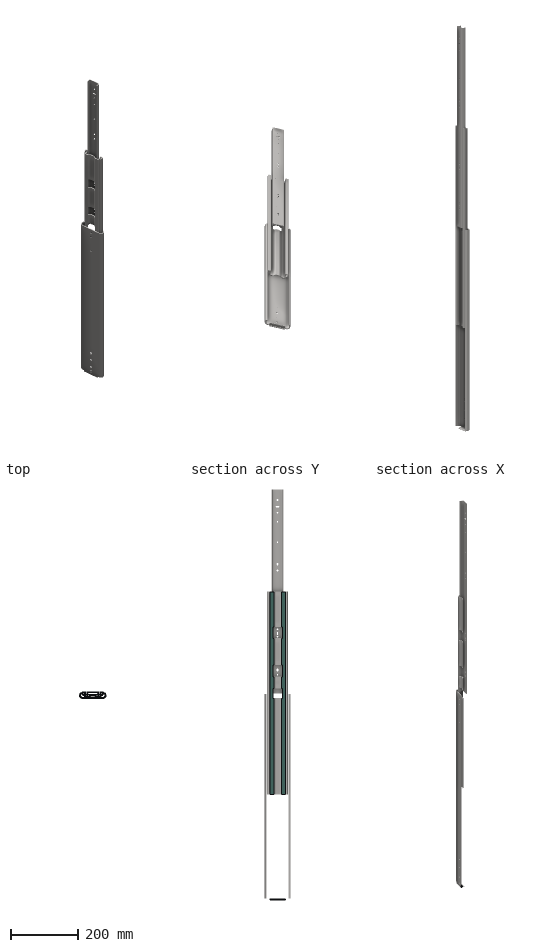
import math

import cadquery as cq


TOTAL_WIDTH = 77.15
TOTAL_DEPTH = 19.3
TOTAL_HEIGHT = 1218.6
SHEET = 2.4

TAB_DROP = 5.5
OUTER_TOP = 611.0
MIDDLE_BOTTOM = 314.0
MIDDLE_TOP = 915.0
INNER_BOTTOM = 613.5

OUTER_FLAT_HALF = 31.2
WALL_X = TOTAL_WIDTH / 2
WALL_START_Y = 5.5
CORNER_MID = (35.2, 2.3)
CURL_RADIUS = 5.5
CURL_Y = 10.5
CURL_ANGLE = 90.0
TAB_HALF_WIDTH = 24.0
TAB_REACH = 11.5
TAB_ROOT = 7.0
TAB_UNDERSIDE = 2.5
TAB_TIP = 1.2

MIDDLE_HALF_WIDTH = 31.2
MIDDLE_Y = 2.9
BEND_RADIUS = 4.2
HAT_RADIUS = 2.2
HAT_WIDTH = 9.4
LEG_BEND_Y = 13.0
LEG_TIP_Y = 8.0
LEG_LEAN = 3.6
RIB_BASE_HALF = 12.8
RIB_TOP_HALF = 5.5
RIB_RISE = 4.8

INNER_HALF_WIDTH = 17.4
INNER_TIP_Y = 7.0
INNER_SHEET = 1.6
INNER_CORNER = 1.6
INNER_FILLET = 4.6
GROOVE_LOW_Y = 8.2
GROOVE_HIGH_Y = 12.2
GROOVE_DEPTH = 0.6

OUTER_HOLES = [
    (597.5, 4.5, 7.0),
    (579.7, 4.5, 7.0),
    (521.2, 4.5, 4.5),
    (89.2, 4.5, 9.9),
    (61.7, 4.5, 7.0),
    (32.2, 4.5, 7.0),
    (13.7, 4.0, 8.8),
]
INNER_HOLES = [
    (1187.2, 4.5, 7.0),
    (1167.2, 11.0, 4.0),
    (1149.2, 4.5, 4.5),
    (1123.2, 4.5, 4.5),
    (1061.2, 4.5, 4.5),
    (996.7, 4.5, 7.0),
    (978.2, 4.5, 7.0),
    (803.7, 4.5, 4.5),
    (790.7, 4.0, 8.8),
    (781.7, 4.5, 4.5),
    (683.2, 4.5, 9.9),
    (668.2, 4.5, 4.5),
]

WINDOW_HALF = 13.4
WINDOWS = [
    (778.0, 811.0),
    (664.0, 697.0),
    (600.0, 627.5),
]


def flip(point):
    """Mirror a section point to the other side."""
    return (-point[0], point[1])


def cut_holes(rail, holes):
    """Cut round or slotted holes through a rail from front to back."""
    for height, across, along in holes:
        length = max(across, along)
        width = min(across, along)
        tilt = 90 if along > across else 0
        sketch = cq.Workplane("XZ").center(0, height)
        if length == width:
            sketch = sketch.circle(width / 2)
        else:
            sketch = sketch.slot2D(length, width, tilt)
        rail = rail.cut(sketch.extrude(-TOTAL_DEPTH))
    return rail


def make_outer_rail():
    """Wide C-shaped rail with curled races and a stop tab at its lower end."""

    def curl_point(radius, degrees):
        angle = math.radians(degrees)
        return (WALL_X - CURL_RADIUS + radius * math.cos(angle), CURL_Y + radius * math.sin(angle))

    inside = CURL_RADIUS - SHEET
    wall_in = WALL_X - SHEET
    tip_out = curl_point(CURL_RADIUS, CURL_ANGLE)
    tip_in = curl_point(inside, CURL_ANGLE)
    curl_mid_out = curl_point(CURL_RADIUS, CURL_ANGLE / 2)
    curl_mid_in = curl_point(inside, CURL_ANGLE / 2)
    web_out = (OUTER_FLAT_HALF, 0)
    corner_out = (WALL_X, WALL_START_Y)
    web_in = (OUTER_FLAT_HALF, SHEET)
    rail = (
        cq.Workplane("XY")
        .workplane(offset=TAB_DROP)
        .moveTo(*flip(web_out))
        .lineTo(*web_out)
        .threePointArc(CORNER_MID, corner_out)
        .lineTo(WALL_X, CURL_Y)
        .threePointArc(curl_mid_out, tip_out)
        .lineTo(*tip_in)
        .threePointArc(curl_mid_in, (wall_in, CURL_Y))
        .lineTo(wall_in, WALL_START_Y)
        .lineTo(*web_in)
        .lineTo(*flip(web_in))
        .lineTo(-wall_in, WALL_START_Y)
        .lineTo(-wall_in, CURL_Y)
        .threePointArc(flip(curl_mid_in), flip(tip_in))
        .lineTo(*flip(tip_out))
        .threePointArc(flip(curl_mid_out), (-WALL_X, CURL_Y))
        .lineTo(*flip(corner_out))
        .threePointArc(flip(CORNER_MID), flip(web_out))
        .close()
        .extrude(OUTER_TOP - TAB_DROP)
    )
    tongue = (
        cq.Workplane("XY")
        .center(0, SHEET / 2)
        .rect(2 * TAB_HALF_WIDTH, SHEET)
        .extrude(TAB_ROOT)
    )
    sloped_tab = (
        cq.Workplane("YZ")
        .polyline([
            (SHEET / 2, TAB_UNDERSIDE),
            (TAB_REACH - SHEET, 0),
            (TAB_REACH, 0),
            (TAB_REACH, TAB_TIP),
            (SHEET / 2, TAB_ROOT),
        ])
        .close()
        .extrude(TAB_HALF_WIDTH, both=True)
    )
    return cut_holes(rail.union(tongue).union(sloped_tab), OUTER_HOLES)


def make_middle_rail():
    """Rail with a raised web, and walls folded over into outward-facing legs."""
    wall_out = MIDDLE_HALF_WIDTH - HAT_WIDTH + SHEET
    wall_in = wall_out - SHEET
    leg_in = MIDDLE_HALF_WIDTH - SHEET
    web_top = MIDDLE_Y + SHEET
    fold_low = TOTAL_DEPTH - SHEET
    half_outline = [
        (RIB_TOP_HALF, MIDDLE_Y + RIB_RISE),
        (RIB_BASE_HALF, MIDDLE_Y),
        (wall_out, MIDDLE_Y),
        (wall_out, fold_low),
        (leg_in, fold_low),
        (leg_in, LEG_BEND_Y),
        (leg_in - LEG_LEAN, LEG_TIP_Y),
        (MIDDLE_HALF_WIDTH - LEG_LEAN, LEG_TIP_Y),
        (MIDDLE_HALF_WIDTH, LEG_BEND_Y),
        (MIDDLE_HALF_WIDTH, TOTAL_DEPTH),
        (wall_in, TOTAL_DEPTH),
        (wall_in, web_top),
        (RIB_BASE_HALF, web_top),
        (RIB_TOP_HALF, web_top + RIB_RISE),
    ]
    length = MIDDLE_TOP - MIDDLE_BOTTOM
    outline = half_outline + [flip(point) for point in reversed(half_outline)]
    rail = cq.Workplane("XY").workplane(offset=MIDDLE_BOTTOM).polyline(outline).close().extrude(length)

    rounded_corners = [
        ((wall_out, MIDDLE_Y), BEND_RADIUS),
        ((wall_in, web_top), BEND_RADIUS - SHEET),
        ((wall_in, TOTAL_DEPTH), HAT_RADIUS),
        ((MIDDLE_HALF_WIDTH, TOTAL_DEPTH), HAT_RADIUS),
    ]
    middle_height = (MIDDLE_BOTTOM + MIDDLE_TOP) / 2
    for corner, radius in rounded_corners:
        for point in (corner, flip(corner)):
            nearest = cq.selectors.NearestToPointSelector((*point, middle_height))
            rail = rail.edges("|Z").edges(nearest).fillet(radius)
    for bottom, top in WINDOWS:
        window = cq.Workplane("XY").box(
            2 * WINDOW_HALF, TOTAL_DEPTH, top - bottom, centered=(True, False, False)
        )
        rail = rail.cut(window.translate((0, 0, bottom)))
    return rail


def make_inner_rail():
    """Narrow channel open toward -Y, with a ball groove along each flange."""
    length = TOTAL_HEIGHT - INNER_BOTTOM
    base = cq.Workplane("XY").workplane(offset=INNER_BOTTOM)

    def channel_block(half_width, y_top, corner):
        depth = y_top - INNER_TIP_Y
        block = base.center(0, INNER_TIP_Y + depth / 2).rect(2 * half_width, depth).extrude(length)
        return block.edges("|Z and >Y").fillet(corner)

    rail = channel_block(INNER_HALF_WIDTH, TOTAL_DEPTH, INNER_CORNER)
    rail = rail.cut(
        channel_block(INNER_HALF_WIDTH - INNER_SHEET, TOTAL_DEPTH - INNER_SHEET, INNER_FILLET)
    )
    groove_middle = (GROOVE_LOW_Y + GROOVE_HIGH_Y) / 2
    for side in (-1, 1):
        face_x = side * INNER_HALF_WIDTH
        groove = (
            base.moveTo(face_x, GROOVE_LOW_Y)
            .threePointArc(
                (face_x - side * GROOVE_DEPTH, groove_middle), (face_x, GROOVE_HIGH_Y)
            )
            .close()
            .extrude(length)
        )
        rail = rail.cut(groove)
    return cut_holes(rail, INNER_HOLES)


outer_rail = make_outer_rail()
middle_rail = make_middle_rail()
inner_rail = make_inner_rail()

result = cq.Compound.makeCompound([outer_rail.val(), middle_rail.val(), inner_rail.val()])